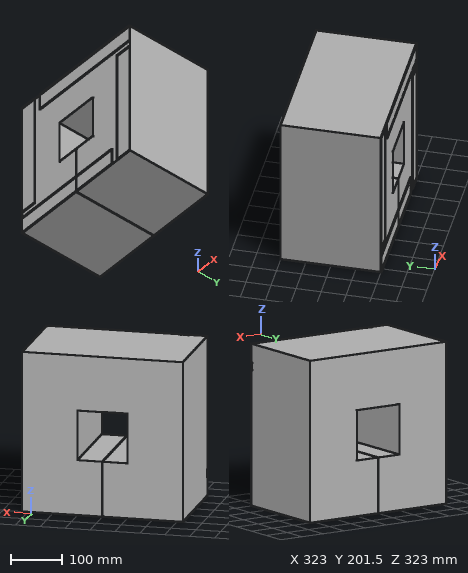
import cadquery as cq

side = 323.0
block_depth = 200.0
window = 100.0
gap_width = 1.0

plate_thickness = 1.5
plate_width = 38.0
plate_length = 270.0
plate_count = 4

half_side = side / 2
quarter_turn = 360 / plate_count


def make_block():
    """Square frame, split from the window down through the bottom face."""
    frame = cq.Workplane("XY").box(side, block_depth, side, centered=(True, False, True))
    opening = cq.Workplane("XY").box(window, block_depth, window, centered=(True, False, True))
    gap = (
        cq.Workplane("XY")
        .box(gap_width, block_depth, half_side, centered=(True, False, False))
        .translate((0, 0, -half_side))
    )
    return frame.cut(opening).cut(gap)


def make_plate(index):
    """Plate flush with one outer edge, turned about Y to its own side of the front face."""
    bottom_plate = (
        cq.Workplane("XY")
        .box(plate_length, plate_thickness, plate_width, centered=False)
        .translate((-half_side, -plate_thickness, -half_side))
    )
    return bottom_plate.rotate((0, 0, 0), (0, 1, 0), index * quarter_turn)


block = make_block()
plates = [make_plate(index) for index in range(plate_count)]

result = cq.Compound.makeCompound([block.val(), *[plate.val() for plate in plates]])